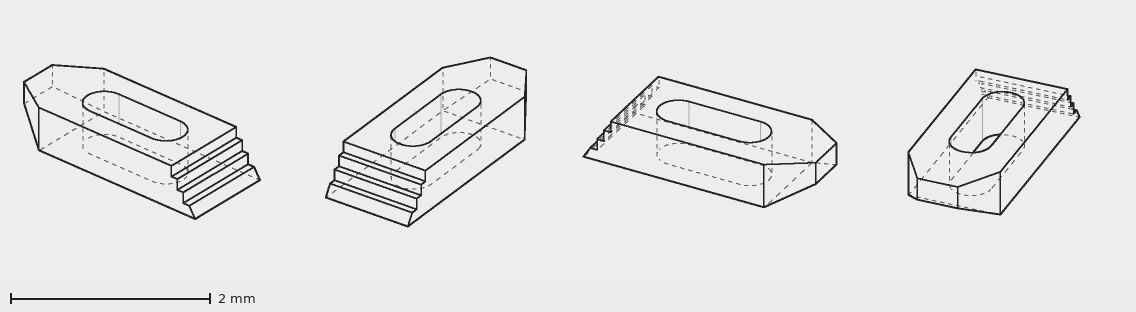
import cadquery as cq

length = 2.5
width = 1.0
height = 0.5

nose_length = 0.438
nose_width = 0.438
nose_height = height / 2

heel_length = 0.312
step_count = 4
step_run = heel_length / step_count
step_rise = height / step_count

slot_start = 0.655
slot_length = 1.25
slot_width = 0.438


def side_profile():
    """Outline in XZ with the undercut nose and the stepped heel."""
    points = [(nose_length, 0), (0, height - nose_height), (0, height)]
    for step in range(step_count - 1):
        x = length - heel_length + step * step_run
        z = height - step * step_rise
        points.append((x, z))
        points.append((x, z - step_rise))
    points.append((length - step_run, step_rise))
    points.append((length, 0))
    return points


def plan_outline():
    """Outline in XY with both corners of the nose cut off."""
    return [
        (0, -nose_width / 2),
        (nose_length, -width / 2),
        (length, -width / 2),
        (length, width / 2),
        (nose_length, width / 2),
        (0, nose_width / 2),
    ]


side_body = cq.Workplane("XZ").polyline(side_profile()).close().extrude(width / 2, both=True)
plan_body = cq.Workplane("XY").polyline(plan_outline()).close().extrude(height)
body = side_body.intersect(plan_body)

slot = (
    cq.Workplane("XY")
    .center(slot_start + slot_length / 2, 0)
    .slot2D(slot_length, slot_width)
    .extrude(height)
)

result = body.cut(slot)